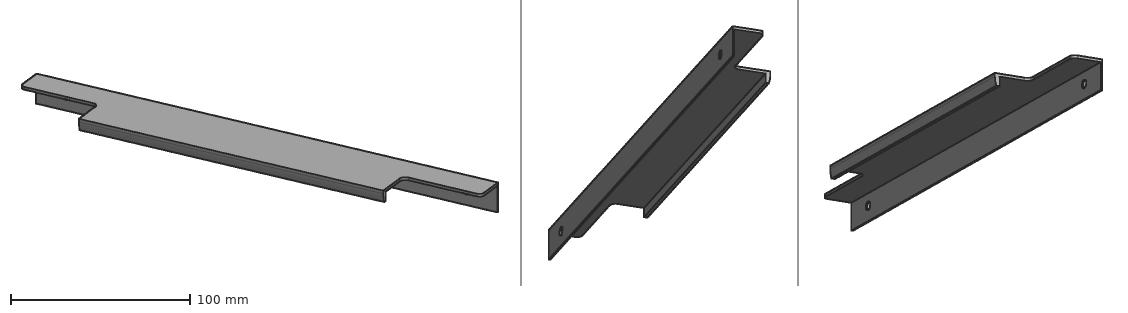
import cadquery as cq

length = 296.0
depth = 41.0
height = 18.0

plate_thickness = 1.8
flange_thickness = 1.0
lip_thickness = 3.0
lip_drop = 7.5
lip_taper = 1.0

tab_width = 195.5
shoulder_depth = 19.0
outer_corner_radius = 3.0
inner_corner_radius = 3.5

hole_spacing = 256.0
hole_diameter = 5.0

back_y = depth / 2
front_y = back_y - depth
top_z = height / 2
shoulder_y = back_y - shoulder_depth
plate_bottom_z = top_z - plate_thickness


def round_corner(plate, corner, radius):
    """Fillet the vertical plate edge nearest to a corner point."""
    return plate.edges("|Z").edges(cq.NearestToPointSelector(corner)).fillet(radius)


def make_plate():
    """Horizontal plate: full-length strip with a wide tab, blended at the shoulders."""
    strip = cq.Workplane("XY").box(length, shoulder_depth, plate_thickness, centered=(True, False, False))
    tab = cq.Workplane("XY").box(tab_width, depth, plate_thickness, centered=(True, False, False))
    strip = strip.translate((0, shoulder_y, plate_bottom_z))
    tab = tab.translate((0, front_y, plate_bottom_z))
    plate = strip.union(tab)
    outer_corners = [(-length / 2, shoulder_y, top_z), (length / 2, shoulder_y, top_z)]
    inner_corners = [(-tab_width / 2, shoulder_y, top_z), (tab_width / 2, shoulder_y, top_z)]
    for corner in outer_corners:
        plate = round_corner(plate, corner, outer_corner_radius)
    for corner in inner_corners:
        plate = round_corner(plate, corner, inner_corner_radius)
    return plate


def make_flange():
    """Vertical mounting flange along the back edge, with two through holes."""
    flange = cq.Workplane("XY").box(length, flange_thickness, height)
    flange = flange.translate((0, back_y - flange_thickness / 2, 0))
    holes = (
        cq.Workplane("XZ", origin=(0, back_y + flange_thickness, 0))
        .pushPoints([(-hole_spacing / 2, 0), (hole_spacing / 2, 0)])
        .circle(hole_diameter / 2)
        .extrude(3 * flange_thickness)
    )
    return flange.cut(holes)


def make_lip():
    """Finger lip under the tab; its front face curves inward towards the bottom."""
    inner_y = front_y + lip_thickness
    lip_bottom_z = top_z - lip_drop
    return (
        cq.Workplane("YZ", origin=(-tab_width / 2, 0, 0))
        .moveTo(front_y, top_z)
        .lineTo(front_y, plate_bottom_z)
        .tangentArcPoint((front_y + lip_taper, lip_bottom_z), relative=False)
        .lineTo(inner_y, lip_bottom_z)
        .lineTo(inner_y, top_z)
        .close()
        .extrude(tab_width)
    )


result = make_plate().union(make_flange()).union(make_lip())